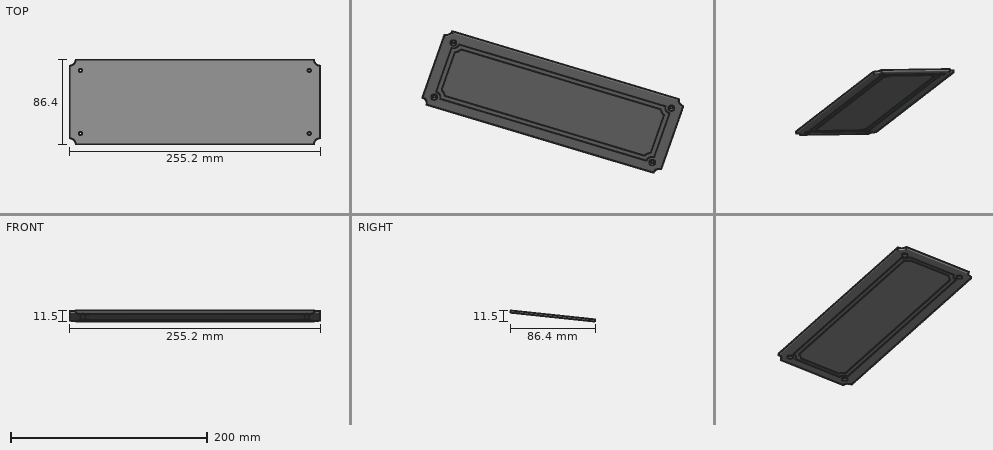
import cadquery as cq
import math

length = 255.2
thickness = 2.5
lower_edge_radius = 1.0
corner_notch_radius = 6.2

tilt = 6.0
tilted_depth = 86.42

hole_diameter = 3.2
hole_inset = 11.1
countersink_diameter = 6.4
countersink_angle = 90

groove_inset = 11.1
groove_width = 4.7
groove_depth = 0.5
groove_hole_clearance = 6.2

tilt_radians = math.radians(tilt)
straight_edge_height = thickness - lower_edge_radius
tilted_flat_depth = tilted_depth - lower_edge_radius - straight_edge_height * math.sin(tilt_radians)
width = tilted_flat_depth / math.cos(tilt_radians) + lower_edge_radius


def corner_points(inset):
    """The four points set in from the plate corners by the same distance in X and Y."""
    x = length / 2 - inset
    y = width / 2 - inset
    return [(x, y), (-x, y), (-x, -y), (x, -y)]


def notched_slab(inset, notch_centre_inset, notch_radius, height):
    """Rectangular slab set in from the plate edges, with a round notch at each corner."""
    slab = cq.Workplane("XY").rect(length - 2 * inset, width - 2 * inset).extrude(height)
    notches = (
        cq.Workplane("XY").pushPoints(corner_points(notch_centre_inset)).circle(notch_radius).extrude(height)
    )
    return slab.cut(notches)


def rounded_plate():
    plate = notched_slab(0, 0, corner_notch_radius, thickness)
    return plate.faces("<Z").edges().fillet(lower_edge_radius)


def drill_screw_holes(plate):
    underside = plate.faces("<Z").workplane(origin=(0, 0, 0))
    return underside.pushPoints(corner_points(hole_inset)).cskHole(
        hole_diameter, countersink_diameter, countersink_angle
    )


def underside_groove():
    outer = notched_slab(groove_inset, hole_inset, groove_hole_clearance, groove_depth)
    island = notched_slab(
        groove_inset + groove_width, hole_inset, groove_hole_clearance + groove_width, groove_depth
    )
    return outer.cut(island)


flat_plate = drill_screw_holes(rounded_plate()).cut(underside_groove())
result = flat_plate.rotate((0, 0, 0), (1, 0, 0), -tilt)